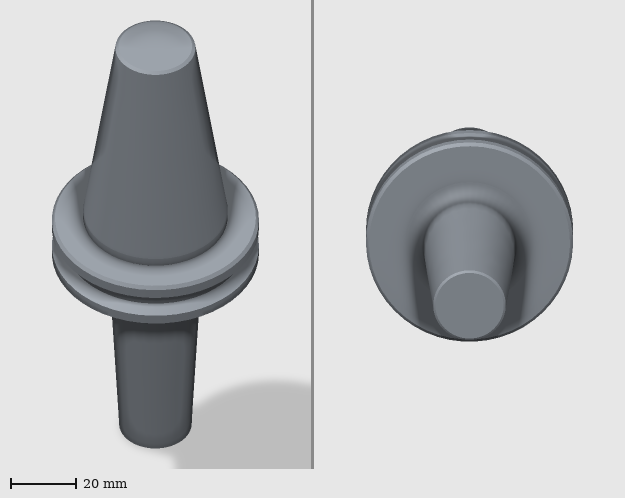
import cadquery as cq
import math

total_length = 158.4
taper_length = 68.5
gauge_z = total_length - taper_length

gauge_radius = 22.2
taper_ratio = 7 / 24 / 2
taper_tip_radius = gauge_radius - taper_length * taper_ratio
tip_chamfer_width = 1.0
tip_chamfer_height = 0.6

collar_height = 3.2
collar_base_chamfer = 0.5
flange_radius = 31.76
flange_thickness = 15.8
flange_chamfer = 1.0
flange_top_z = gauge_z - collar_height
flange_bottom_z = flange_top_z - flange_thickness
groove_root_radius = 28.0
groove_root_width = 4.1
groove_mouth_width = 7.5
groove_center_z = flange_top_z - flange_thickness / 2

nose_end_radius = 11.1
nose_angle = math.radians(2.8)
nose_chamfer = 0.6
neck_fillet = 5.0
nose_base_radius = nose_end_radius + flange_bottom_z * math.tan(nose_angle)


def revolve_outline(outline):
    """Turn a closed (radius, height) outline about the Z axis."""
    return cq.Workplane("XZ").polyline(outline).close().revolve(360, (0, 0), (0, 1))


def taper_and_collar():
    """Mounting taper on a short cylindrical collar with a beveled foot."""
    chamfer_z = total_length - tip_chamfer_height
    outline = [
        (0, flange_top_z),
        (gauge_radius - collar_base_chamfer, flange_top_z),
        (gauge_radius, flange_top_z + collar_base_chamfer),
        (gauge_radius, gauge_z),
        (taper_tip_radius + tip_chamfer_height * taper_ratio, chamfer_z),
        (taper_tip_radius - tip_chamfer_width, total_length),
        (0, total_length),
    ]
    return revolve_outline(outline)


def flange():
    """Disc with chamfered rims and a V groove."""
    root_half = groove_root_width / 2
    mouth_half = groove_mouth_width / 2
    outline = [
        (0, flange_bottom_z),
        (flange_radius - flange_chamfer, flange_bottom_z),
        (flange_radius, flange_bottom_z + flange_chamfer),
        (flange_radius, groove_center_z - mouth_half),
        (groove_root_radius, groove_center_z - root_half),
        (groove_root_radius, groove_center_z + root_half),
        (flange_radius, groove_center_z + mouth_half),
        (flange_radius, flange_top_z - flange_chamfer),
        (flange_radius - flange_chamfer, flange_top_z),
        (0, flange_top_z),
    ]
    return revolve_outline(outline)


def nose():
    """Slim cone with a chamfered end, reaching up to the flange."""
    outline = [
        (0, 0),
        (nose_end_radius - nose_chamfer, 0),
        (nose_end_radius + nose_chamfer * math.tan(nose_angle), nose_chamfer),
        (nose_base_radius, flange_bottom_z),
        (0, flange_bottom_z),
    ]
    return revolve_outline(outline)


body = flange().union(nose())

flange_underside = body.faces("|Z").faces(">Z[-2]")
body = flange_underside.edges(cq.selectors.RadiusNthSelector(0)).fillet(neck_fillet)

result = body.union(taper_and_collar())